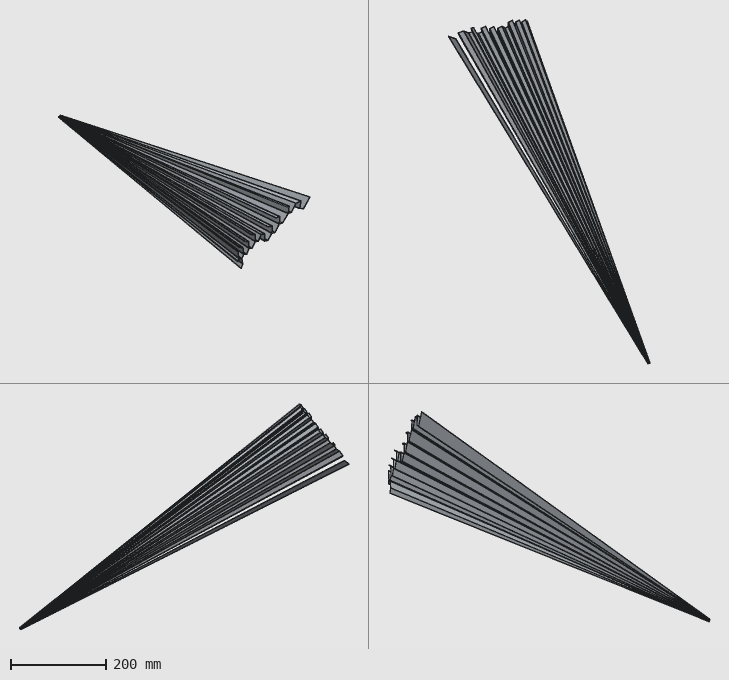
import cadquery as cq
import math

length = 730.0
width = 178.0
top_height = 302.0

tip_scale = 0.03
lowest_height = 179.0
tip_ratio = tip_scale / (1 - tip_scale)
apex = cq.Vector(-length * tip_ratio, 6.5, -lowest_height * tip_ratio)

sheet = 1.0
wall_height = 21.0
ledge_length = 10.0
tread_length = 8.0
tread_lag = 4.0
first_wall_lean = -9.0
lean_step = 2.0

upper_teeth = [
    (152.5, 281.0, -1.5),
    (124.0, 281.0, 7.0),
    (102.0, 261.0, 11.0),
    (84.0, 243.0, 15.0),
]
lower_teeth = [
    (66.5, 229.0, 19.0),
    (43.0, 240.0, 27.5),
    (28.0, 228.0, 30.0),
    (14.5, 217.0, 33.0),
    (3.0, 211.0, 35.0),
]
upper_opening_ledge = 12.5
lower_end = (-1.0, 202.0)

top_strip_line = [(179.0, 304.0), (161.0, 274.5)]
bottom_strip_line = [(10.0, 205.0), (12.5, 189.0), (8.0, lowest_height)]


def section_face(points):
    """Flat face at X = length with the given (y, z) corners."""
    corners = [cq.Vector(length, y, z) for y, z in points]
    return cq.Face.makeFromWires(cq.Wire.makePolygon(corners, close=True))


def plate(start, end):
    """Section of a flat plate centered on the line between two points."""
    run_y = end[0] - start[0]
    run_z = end[1] - start[1]
    half = sheet / 2 / math.hypot(run_y, run_z)
    side_y = -run_z * half
    side_z = run_y * half
    return section_face([
        (start[0] + side_y, start[1] + side_z),
        (end[0] + side_y, end[1] + side_z),
        (end[0] - side_y, end[1] - side_z),
        (start[0] - side_y, start[1] - side_z),
    ])


def folded(points):
    """Sections of the plates that join end to end along a line of points."""
    return [plate(start, end) for start, end in zip(points, points[1:])]


def joined(plates):
    """One section made of several plates, trimmed to the rectangle around the whole fan."""
    outline = section_face([(0, 0), (width, 0), (width, top_height), (0, top_height)])
    section = plates[0].fuse(*plates[1:]) if len(plates) > 1 else plates[0]
    return section.intersect(outline).clean()


def tapered(section):
    """Solid between the full section and its small copy at X = 0, shrunk toward the apex."""
    end = section.Faces()[0].outerWire()
    tip = end.translate(-apex).scale(tip_scale).translate(apex)
    return cq.Workplane(cq.Solid.makeLoft([tip, end], True))


def toward_low_y(point, distance, tilt):
    """Point at a distance from another, toward low Y and tilted upward by an angle in degrees."""
    angle = math.radians(tilt)
    return (point[0] - distance * math.cos(angle), point[1] + distance * math.sin(angle))


def tread(foot, next_ledge_tilt):
    """Line of the tread that runs up to the foot of a wall."""
    return [toward_low_y(foot, -tread_length, next_ledge_tilt - tread_lag), foot]


def stair(teeth, first_index, first_ledge_length, last_line):
    """Plates of a stair-shaped sheet with a wall and a ledge on each step.

    The first slope falls from the tip of the first ledge, the others from the foot of each wall.
    """
    treads = [tread((y, z), tilt) for y, z, tilt in teeth[1:]]
    treads.append(last_line)

    plates = []
    for index, (y, z, tilt) in enumerate(teeth):
        foot = (y, z)
        lean = first_wall_lean + lean_step * (first_index + index)
        root = toward_low_y(foot, wall_height, 90 - lean)
        ledge_tip = toward_low_y(root, first_ledge_length if index == 0 else ledge_length, tilt)
        slope_top = ledge_tip if index == 0 else foot
        plates += folded([foot, root, ledge_tip])
        plates += folded([slope_top, *treads[index]])
    return plates


lower_section = joined(stair(lower_teeth, len(upper_teeth), ledge_length, [lower_end]))
lower_stair = tapered(lower_section)

meeting_y, meeting_z, meeting_tilt = lower_teeth[0]
last_tread = tread((meeting_y, meeting_z), meeting_tilt)
upper_section = joined(stair(upper_teeth, 0, upper_opening_ledge, last_tread))
upper_stair = tapered(upper_section.cut(lower_section))

top_strip = tapered(joined(folded(top_strip_line)))
bottom_strip = tapered(joined(folded(bottom_strip_line)))

result = cq.Compound.makeCompound([
    top_strip.val(),
    upper_stair.val(),
    lower_stair.val(),
    bottom_strip.val(),
])